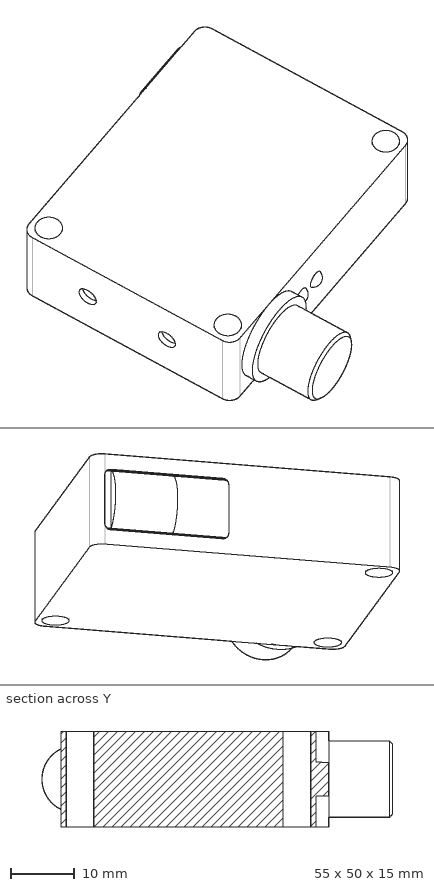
import cadquery as cq
import math

length_x = 40.0
length_y = 50.0
height = 15.0
corner_radius = 2.0
mid_z = height / 2

mount_diameter = 4.3
mount_inset = 3.0

side_hole_diameter = 3.25
side_hole_depth = 1.0
side_hole_places = [12.5, 27.5]

window_length = 20.0
window_height = 10.0
window_radius = 1.0
window_top_y = length_y - corner_radius
window_depth = 0.2
panel_height = 9.55
panel_recess = 0.05

lens_radius = 5.3
lens_protrusion = 2.95
lens_width = 10.0
lens_top_y = length_y - 3.0

connector_y = 10.0
flange_diameter = 15.0
flange_thickness = 2.0
plug_diameter = 12.0
plug_length = 10.0
plug_chamfer = 0.5

dome_diameter = 3.0
dome_protrusion = 1.0
dome_places = [19.0, 23.0]


def block(x_min, y_min, z_min, size_x, size_y, size_z):
    return cq.Workplane("XY").box(size_x, size_y, size_z, centered=False).translate((x_min, y_min, z_min))


def rod_along_x(x_start, diameter, rod_length):
    plane = cq.Workplane("YZ", origin=(x_start, connector_y, mid_z))
    return plane.circle(diameter / 2).extrude(rod_length)


def make_housing():
    body = block(0, 0, 0, length_x, length_y, height).edges("|Z").fillet(corner_radius)
    right_x = length_x - mount_inset
    top_y = length_y - mount_inset
    mount_places = [(mount_inset, mount_inset), (right_x, mount_inset), (right_x, top_y)]
    mounts = cq.Workplane("XY").pushPoints(mount_places).circle(mount_diameter / 2).extrude(height)
    body = body.cut(mounts)
    for x in side_hole_places:
        hole = cq.Workplane("XZ", origin=(x, 0, mid_z)).circle(side_hole_diameter / 2).extrude(-side_hole_depth)
        body = body.cut(hole)
    return body


def make_window_cut():
    window_bottom_y = window_top_y - window_length
    window = block(0, window_bottom_y, mid_z - window_height / 2, window_depth, window_length, window_height)
    window = window.edges("|X").fillet(window_radius)
    panel = block(
        panel_recess, window_bottom_y, mid_z - panel_height / 2,
        window_depth, window_length, panel_height,
    )
    return window.cut(panel)


def make_lens():
    center_x = lens_radius - lens_protrusion
    base_x = panel_recess
    half_chord = math.sqrt(lens_radius**2 - (center_x - base_x) ** 2)
    return (
        cq.Workplane("XZ", origin=(0, lens_top_y, mid_z))
        .moveTo(window_depth, -half_chord)
        .lineTo(base_x, -half_chord)
        .threePointArc((-lens_protrusion, 0), (base_x, half_chord))
        .lineTo(window_depth, half_chord)
        .close()
        .extrude(lens_width)
    )


def make_connector():
    plug = rod_along_x(length_x + flange_thickness, plug_diameter, plug_length)
    plug = plug.faces(">X").chamfer(plug_chamfer)
    return rod_along_x(length_x, flange_diameter, flange_thickness).union(plug)


def make_dome(y):
    radius = dome_diameter / 2
    center_depth = radius - dome_protrusion
    base_radius = math.sqrt(radius**2 - center_depth**2)
    arc_middle = math.sqrt(0.5) * radius
    return (
        cq.Workplane("XY", origin=(length_x, y, mid_z))
        .lineTo(dome_protrusion, 0)
        .threePointArc((arc_middle - center_depth, arc_middle), (0, base_radius))
        .close()
        .revolve(360, (0, 0, 0), (1, 0, 0))
    )


result = make_housing().cut(make_window_cut()).union(make_lens()).union(make_connector())
for dome_y in dome_places:
    result = result.union(make_dome(dome_y))